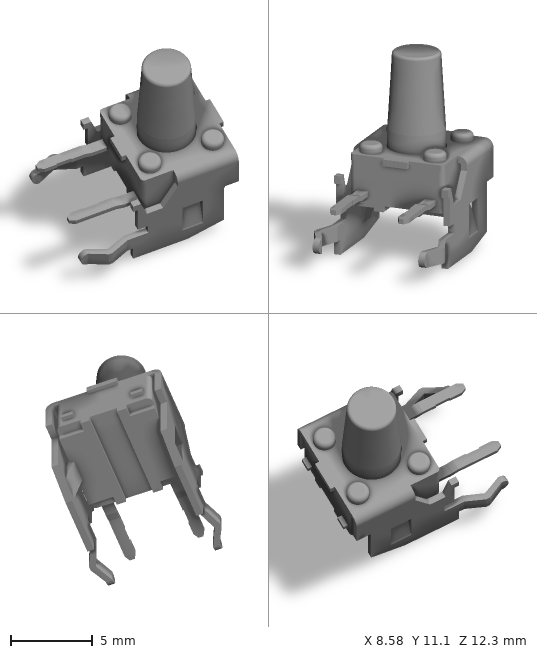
import cadquery as cq
import math


total_width = 8.58
total_height = 12.35

body_half = 3.11
body_height = 3.5
body_corner = 0.32
cover_corner = 0.25
sheet = 0.42
foot_height = 0.4
foot_slot_half = 0.89
corner_notch_x = 1.51
corner_notch_depth = 0.6
tab_reach = 0.3
front_tab_half = 0.82
back_tab_half = 0.99

plunger_height = 6.08
plunger_radius = 1.8
plunger_top_radius = 1.51
plunger_straight = 1.17
plunger_round = 0.2
plunger_hole_radius = 1.86
rivet_offset = 2.12
rivet_radius = 0.7
rivet_height = 0.53
rivet_round = 0.26

pin_inner = 1.89
pin_outer = 2.6
pin_thickness = 0.32
pin_top = -2.27
pin_jog_height = 0.12
pin_jog_start = -4.1
pin_jog_end = -4.62
pin_tip = -7.7
pin_taper = 0.37
pin_tip_half = 0.16
pin_notch_depth = 0.055
pin_notch_start = -5.51
pin_notch_end = -6.5
stub_outer = 2.65

leg_outer = 3.78
leg_inner = leg_outer - sheet
bend_radius = 0.55
leg_front_top = -1.0
leg_bottom = plunger_height - total_height
leg_foot_front = -4.01
leg_back = 2.1
leg_shoulder = -2.5
leg_slope_top = -5.7
leg_slope_front = -0.3
leg_stem_front = -3.7
leg_stem_bottom = -3.63
hook_top = -1.24
hook_bottom = -1.74
hook_back = -3.5
relief_floor = -2.41
relief_front = -3.09
relief_back = -2.0
relief_slope_top = -0.88

tail_top = -4.29
tail_bottom = -5.29
tail_root = -3.0
tail_apex = total_width / 2
tail_apex_front = -5.9
tail_apex_back = -5.65
tail_bend = -4.4
tail_inner_bend = -4.47
tail_inner_apex = 3.88
tail_end_outer = 3.72
tail_straight = -7.01

window_half = 0.7
window_top = foot_height - body_height
tongue_top_outer = 3.14
tongue_crease_inset = 0.05
tongue_crease_height = 0.09


def box(x_range, y_range, z_range):
    sizes = [high - low for low, high in (x_range, y_range, z_range)]
    corner = (x_range[0], y_range[0], z_range[0])
    return cq.Workplane("XY").box(*sizes, centered=False).translate(corner)


def both_sides(shape):
    return shape.union(shape.mirror("YZ"))


def make_body():
    width = 2 * body_half
    lower = cq.Workplane("XY").workplane(offset=-body_height)
    lower = lower.rect(width, width).extrude(body_height - sheet)
    lower = lower.edges("|Z").fillet(body_corner)

    slot = box((-foot_slot_half, foot_slot_half), (-body_half, body_half), (-body_height, window_top))
    lower = lower.cut(slot)
    for y_low in (-body_half, body_half - corner_notch_depth):
        notch = box(
            (corner_notch_x, body_half),
            (y_low, y_low + corner_notch_depth),
            (-body_height, window_top),
        )
        lower = lower.cut(both_sides(notch))
    return lower


def make_cover():
    width = 2 * body_half
    cover = cq.Workplane("XY").rect(width, width).extrude(-sheet)
    cover = cover.edges("|Z and <Y").fillet(cover_corner)
    tab_end = body_half + tab_reach
    front_tab = box((-front_tab_half, front_tab_half), (-tab_end, 0), (-sheet, 0))
    back_tab = box((-back_tab_half, back_tab_half), (0, tab_end), (-sheet, 0))
    hole = cq.Workplane("XY").circle(plunger_hole_radius).extrude(-sheet)
    return cover.union(front_tab).union(back_tab).cut(hole)


def make_plunger():
    base = cq.Workplane("XY").workplane(offset=-sheet)
    base = base.circle(plunger_radius).extrude(sheet + plunger_straight)
    cone = (
        cq.Workplane("XY")
        .workplane(offset=plunger_straight)
        .circle(plunger_radius)
        .workplane(offset=plunger_height - plunger_straight)
        .circle(plunger_top_radius)
        .loft()
    )
    cone = cone.faces(">Z").edges().fillet(plunger_round)
    return base.union(cone)


def make_rivets():
    return (
        cq.Workplane("XY")
        .rect(2 * rivet_offset, 2 * rivet_offset, forConstruction=True)
        .vertices()
        .circle(rivet_radius)
        .extrude(rivet_height)
        .faces(">Z")
        .edges()
        .fillet(rivet_round)
    )


def make_pin():
    top_line = [(0, pin_top), (pin_jog_start, pin_top)]
    raised_top = pin_top + pin_jog_height
    top_line += [(pin_jog_end, raised_top), (pin_tip, raised_top)]
    bottom_line = [(y, z - pin_thickness) for y, z in reversed(top_line)]
    strip = cq.Workplane("YZ").polyline(top_line + bottom_line).close().extrude(pin_outer)

    taper_start = pin_tip + pin_taper
    middle = (pin_inner + pin_outer) / 2
    notch_edge = pin_inner + pin_notch_depth
    outline = (
        cq.Workplane("XY")
        .workplane(offset=-body_height)
        .polyline([
            (pin_outer, 0),
            (pin_outer, taper_start),
            (middle + pin_tip_half, pin_tip),
            (middle - pin_tip_half, pin_tip),
            (pin_inner, taper_start),
            (pin_inner, pin_notch_end),
            (notch_edge, pin_notch_end),
            (notch_edge, pin_notch_start),
            (pin_inner, pin_notch_start),
            (pin_inner, 0),
        ])
        .close()
        .extrude(body_height)
    )
    stub = box(
        (pin_inner, stub_outer),
        (0, body_half + tab_reach),
        (pin_top - pin_thickness, pin_top),
    )
    return strip.intersect(outline).union(stub)


def make_bend():
    center = leg_outer - bend_radius
    inner_radius = bend_radius - sheet
    diagonal = math.sqrt(0.5)
    return (
        cq.Workplane("XZ", origin=(0, leg_front_top, 0))
        .moveTo(body_half, 0)
        .lineTo(center, 0)
        .threePointArc(
            (center + bend_radius * diagonal, -bend_radius + bend_radius * diagonal),
            (leg_outer, -bend_radius),
        )
        .lineTo(leg_inner, -bend_radius)
        .threePointArc(
            (center + inner_radius * diagonal, -bend_radius + inner_radius * diagonal),
            (center, -sheet),
        )
        .lineTo(body_half, -sheet)
        .close()
        .extrude(leg_front_top - body_half)
    )


def make_leg():
    plate = (
        cq.Workplane("YZ", origin=(leg_inner, 0, 0))
        .polyline([
            (body_half, -bend_radius),
            (body_half, leg_shoulder),
            (leg_back, leg_shoulder),
            (leg_back, leg_slope_top),
            (leg_slope_front, leg_bottom),
            (leg_foot_front, leg_bottom),
            (leg_foot_front, tail_top),
            (tail_root, tail_top),
            (tail_root, leg_stem_bottom),
            (leg_stem_front, leg_stem_bottom),
            (leg_stem_front, hook_bottom),
            (leg_foot_front, hook_bottom),
            (leg_foot_front, hook_top),
            (hook_back, hook_top),
            (relief_front, relief_floor),
            (relief_back, relief_floor),
            (leg_front_top, relief_slope_top),
            (leg_front_top, -bend_radius),
        ])
        .close()
        .extrude(sheet)
    )
    window = box((leg_inner, leg_outer), (-window_half, window_half), (tail_bottom, window_top))
    return plate.cut(window)


def make_tongue():
    return (
        cq.Workplane("XZ", origin=(0, -window_half, 0))
        .polyline([
            (leg_outer, tail_bottom),
            (leg_outer - tongue_crease_inset, tail_bottom + tongue_crease_height),
            (tongue_top_outer, window_top),
            (tongue_top_outer - sheet, window_top),
            (leg_inner, tail_bottom),
        ])
        .close()
        .extrude(-2 * window_half)
    )


def make_tail():
    tail_end_inner = tail_end_outer - sheet
    radius = (tail_top - tail_bottom) / 2
    tail_tip = tail_straight - radius
    strip = (
        cq.Workplane("XY")
        .workplane(offset=tail_bottom)
        .polyline([
            (leg_outer, tail_root),
            (leg_outer, tail_bend),
            (tail_apex, tail_apex_back),
            (tail_apex, tail_apex_front),
            (tail_end_outer, tail_straight),
            (tail_end_outer, tail_tip),
            (tail_end_inner, tail_tip),
            (tail_end_inner, tail_straight),
            (tail_inner_apex, (tail_apex_back + tail_apex_front) / 2),
            (leg_inner, tail_inner_bend),
            (leg_inner, tail_root),
        ])
        .close()
        .extrude(tail_top - tail_bottom)
    )
    rounded_end = (
        cq.Workplane("YZ")
        .moveTo(tail_root, tail_top)
        .lineTo(tail_straight, tail_top)
        .threePointArc((tail_tip, tail_top - radius), (tail_straight, tail_bottom))
        .lineTo(tail_root, tail_bottom)
        .close()
        .extrude(tail_apex)
    )
    return strip.intersect(rounded_end)


bracket_side = make_bend().union(make_leg()).union(make_tongue()).union(make_tail())

result = (
    make_body()
    .union(make_cover())
    .union(make_plunger())
    .union(make_rivets())
    .union(both_sides(make_pin()))
    .union(both_sides(bracket_side))
)